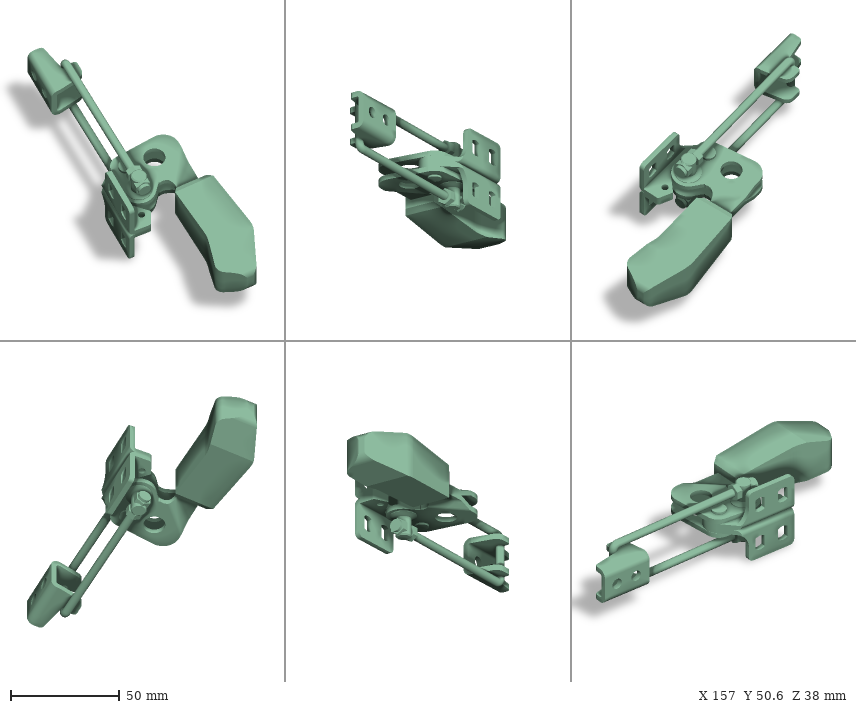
import cadquery as cq
import math


KEEPER_LENGTH = 25.8
KEEPER_WIDTH = 18.4
KEEPER_SHEET = 2.75
KEEPER_INNER_BEND = 1.0
KEEPER_HEIGHT = 18.2
KEEPER_RAMP_START_Y = 7.6
KEEPER_RAMP_ROUNDING = 1.8
KEEPER_BACK_Y = 4.3
KEEPER_NOSE_BACK_X = 22.6
KEEPER_NOSE_BACK_ROUNDING = 4.0
KEEPER_NOSE_TIP_ROUNDING = 1.5
KEEPER_HOLE_X = (7.0, 18.0)
KEEPER_HOLE_DIAMETER = 5.4

BASE_LEFT = 83.3
BASE_RIGHT = 109.5
BASE_WIDTH = 38.0
BASE_SHEET = 2.6
BASE_INNER_BEND = 0.4
BASE_CORNER_RADIUS = 2.5
NECK_FLARE_RADIUS = 9.8
NECK_FLARE_START_Z = 11.0
SLOT_X = (89.7, 102.9)
SLOT_Z = 10.6
SLOT_WIDTH = 5.4
SLOT_LENGTH = 7.7
SLOT_SIDE_LENGTH = 6.0
TONGUE_TOE_X = 79.4
TONGUE_NOSE_RADIUS = 7.5
TONGUE_VALLEY_Y = 5.5
TAB_PEAK = (102.4, 14.3)
TAB_SHOULDER = (BASE_RIGHT, 11.0)
TAB_PEAK_ROUNDING = 1.0
TAB_SHOULDER_ROUNDING = 1.5
TAB_HOLE = (102.5, 9.5)
TAB_HOLE_DIAMETER = 3.3

RIVET_X = 76.5
RIVET_Y = 14.0
RIVET_SHANK_DIAMETER = 5.0
RIVET_HEAD_DIAMETER = 7.3
RIVET_HEAD_HEIGHT = 1.3
RIVET_TAIL_DIAMETER = 6.6
RIVET_TAIL_HEIGHT = 0.9

LEVER_SHEET = 2.5
LEVER_GAP = 2 * BASE_SHEET
LEVER_TOP = 42.1
LEVER_TOP_CORNER_X = 64.7
LEVER_TOP_CORNER_ROUNDING = 8.0
LEVER_LOW_CORNER = (69.9, 7.3)
LEVER_LOW_CORNER_ROUNDING = 6.5
LEVER_NECK_LOW = (95.8, 19.8)
LEVER_NECK_HIGH = (90.9, 23.7)
LEVER_TANG_START = 93.5
LEVER_TANG_BOTTOM = 30.2
LEVER_TANG_END = 127.0
LEVER_EYE_RADIUS = 8.1
LEVER_HOLE = (76.9, 28.2)
LEVER_HOLE_DIAMETER = 10.2
LEVER_NOTCH_CENTRE = (95.6, 26.0)
LEVER_NOTCH_RADIUS = 4.8
STEP_START_X = 75.1
STEP_DIRECTION = -42.5
STEP_UPPER_BEND = 1.2
STEP_LOWER_BEND = 5.7
STEP_BEND_RADIUS = 3.0

GRIP_MOUTH_TOP = (97.1, 45.1)
GRIP_SHOULDER_TOP = (100.1, 47.25)
GRIP_CREST = (135.6, 50.91)
GRIP_CREST_ROUNDING = 14.0
GRIP_TIP = (159.2, 41.6)
GRIP_TIP_CORNER_ROUNDING = 5.2
GRIP_HEEL = (150.6, 24.8)
GRIP_HEEL_ROUNDING = 4.5
GRIP_HOLLOW = (131.6, 28.95)
GRIP_HOLLOW_ROUNDING = 17.0
GRIP_SHOULDER_BOTTOM = (101.2, 27.25)
GRIP_MOUTH_BOTTOM = (97.7, 29.5)
GRIP_TILT = 3.1
GRIP_AXIS_Y = 38.0
GRIP_MOUTH_X = 97.4
GRIP_MOUTH_HALF_WIDTH = 6.2
GRIP_SHOULDER_X = 100.6
GRIP_SHOULDER_HALF_WIDTH = 8.2
GRIP_CREASE_X = 137.1
GRIP_CREASE_HALF_WIDTH = 10.7
GRIP_END_X = 156.9
GRIP_END_HALF_WIDTH = 6.7
GRIP_END_ROUNDING = 4.3

BAR_X = 14.0
BAR_Y = 12.3
PIN_X = 90.4
PIN_Y = 13.75
ROD_DIAMETER = 4.0
ROD_HALF_SPACING = 12.0
ROD_BEND_RADIUS = 2.7
PIN_DIAMETER = 6.0
POST_DIAMETER = 7.3
POST_END_Z = 16.0
POST_CHAMFER = 0.6
FLANGE_DIAMETER = 12.4
FLANGE_RIM = 0.3
FLANGE_CONE_END_Z = 6.7
NUT_ACROSS_FLATS = 7.0
NUT_THICKNESS = 3.0
FRONT_NUT_START = -6.3
BACK_NUT_START = 1.9
COLLAR_DIAMETER = 6.0
COLLAR_LENGTH = 1.6

LEVER_HALF_WIDTH = LEVER_GAP / 2 + LEVER_SHEET


def rounded_outline(plane, corners):
    """Closed wire through corners given as (x, y, radius); radius 0 leaves the corner sharp."""
    wire = None
    first = None
    for i, (x, y, radius) in enumerate(corners):
        if radius == 0:
            path = [(x, y)]
        else:
            before = corners[i - 1]
            after = corners[(i + 1) % len(corners)]
            path = corner_arc((x, y), before[:2], after[:2], radius)
        if wire is None:
            first = path[0]
            wire = plane.moveTo(*first)
        else:
            wire = wire.lineTo(*path[0])
        if len(path) > 1:
            wire = wire.threePointArc(path[1], path[2])
    return wire.close()


def corner_arc(corner, before, after, radius):
    """Start, middle and end of the arc that rounds a corner tangent to both of its sides."""
    corner = cq.Vector(*corner)
    back = (cq.Vector(*before) - corner).normalized()
    ahead = (cq.Vector(*after) - corner).normalized()
    half_angle = back.getAngle(ahead) / 2
    reach = radius / math.tan(half_angle)
    centre_distance = radius / math.sin(half_angle)
    toward_centre = (back + ahead).normalized()
    points = (
        corner + back * reach,
        corner + toward_centre * (centre_distance - radius),
        corner + ahead * reach,
    )
    return [(p.x, p.y) for p in points]


def cylinder(x, y, diameter, z_start, z_end):
    return (
        cq.Workplane("XY", origin=(x, y, z_start)).circle(diameter / 2).extrude(z_end - z_start)
    )


def holes_through_foot(x_positions, diameter, depth):
    """Round holes on the mid plane, through a foot that lies on the mounting face."""
    centres = [(x, 0) for x in x_positions]
    return cq.Workplane("XZ").pushPoints(centres).circle(diameter / 2).extrude(-depth)


def make_keeper():
    half = KEEPER_WIDTH / 2
    inner_half = half - KEEPER_SHEET
    outer_bend = KEEPER_INNER_BEND + KEEPER_SHEET
    section = [
        (KEEPER_HEIGHT, -half, 0),
        (0, -half, outer_bend),
        (0, half, outer_bend),
        (KEEPER_HEIGHT, half, 0),
        (KEEPER_HEIGHT, inner_half, 0),
        (KEEPER_SHEET, inner_half, KEEPER_INNER_BEND),
        (KEEPER_SHEET, -inner_half, KEEPER_INNER_BEND),
        (KEEPER_HEIGHT, -inner_half, 0),
    ]
    channel = rounded_outline(cq.Workplane("YZ"), section).extrude(KEEPER_LENGTH)

    rod_radius = ROD_DIAMETER / 2
    wall = [
        (0, 0, 0),
        (KEEPER_LENGTH, 0, 0),
        (KEEPER_LENGTH, KEEPER_BACK_Y, 0),
        (KEEPER_NOSE_BACK_X, KEEPER_HEIGHT, KEEPER_NOSE_BACK_ROUNDING),
        (BAR_X, KEEPER_HEIGHT, KEEPER_NOSE_TIP_ROUNDING),
        (BAR_X, BAR_Y - rod_radius, 0),
        (0, KEEPER_RAMP_START_Y, KEEPER_RAMP_ROUNDING),
    ]
    walls = rounded_outline(cq.Workplane("XY"), wall).extrude(half, both=True)
    seat = cylinder(BAR_X, BAR_Y, ROD_DIAMETER, -half, half)
    holes = holes_through_foot(KEEPER_HOLE_X, KEEPER_HOLE_DIAMETER, KEEPER_SHEET)
    return channel.intersect(walls).cut(seat).cut(holes)


def base_plan():
    """Base seen square to the mounting face: two feet that flare in to the width of the tongue."""
    half = BASE_WIDTH / 2
    tongue_left = RIVET_X - TONGUE_NOSE_RADIUS
    tongue_top = RIVET_Y + TONGUE_NOSE_RADIUS
    flare_turn = math.asin((NECK_FLARE_START_Z - BASE_SHEET) / NECK_FLARE_RADIUS)

    def flare_point(turn):
        x = BASE_LEFT - NECK_FLARE_RADIUS * (1 - math.cos(turn))
        return (x, NECK_FLARE_START_Z - NECK_FLARE_RADIUS * math.sin(turn))

    half_plan = (
        cq.Workplane("XZ")
        .moveTo(BASE_RIGHT, 0)
        .lineTo(BASE_RIGHT, half)
        .lineTo(BASE_LEFT, half)
        .lineTo(BASE_LEFT, NECK_FLARE_START_Z)
        .threePointArc(flare_point(flare_turn / 2), flare_point(flare_turn))
        .lineTo(tongue_left, BASE_SHEET)
        .lineTo(tongue_left, 0)
        .close()
        .extrude(-tongue_top)
        .edges("|Y and >Z")
        .fillet(BASE_CORNER_RADIUS)
    )
    return half_plan.union(half_plan.mirror("XY"))


def base_slots():
    half = SLOT_WIDTH / 2
    side = SLOT_SIDE_LENGTH / 2
    tip = SLOT_LENGTH / 2
    slots = cq.Workplane("XZ")
    for x in SLOT_X:
        for z in (-SLOT_Z, SLOT_Z):
            slots = (
                slots.moveTo(x - half, z - side)
                .threePointArc((x, z - tip), (x + half, z - side))
                .lineTo(x + half, z + side)
                .threePointArc((x, z + tip), (x - half, z + side))
                .close()
            )
    return slots.extrude(-BASE_SHEET)


def make_base():
    half = BASE_WIDTH / 2
    height = RIVET_Y + TONGUE_NOSE_RADIUS
    section = [
        (height, 0, 0),
        (0, 0, BASE_INNER_BEND + BASE_SHEET),
        (0, half, 0),
        (BASE_SHEET, half, 0),
        (BASE_SHEET, BASE_SHEET, BASE_INNER_BEND),
        (height, BASE_SHEET, 0),
    ]
    sheet = rounded_outline(cq.Workplane("YZ"), section).extrude(BASE_RIGHT)
    sheets = sheet.union(sheet.mirror("XY"))

    toe_to_rivet = math.hypot(RIVET_X - TONGUE_TOE_X, RIVET_Y)
    toe_angle = math.atan2(RIVET_Y, RIVET_X - TONGUE_TOE_X)
    edge_angle = toe_angle + math.asin(TONGUE_NOSE_RADIUS / toe_to_rivet)
    edge_length = math.sqrt(toe_to_rivet**2 - TONGUE_NOSE_RADIUS**2)
    edge_top = (
        TONGUE_TOE_X + edge_length * math.cos(edge_angle),
        edge_length * math.sin(edge_angle),
    )
    valley_x = TAB_PEAK[0] - (TAB_PEAK[1] - TONGUE_VALLEY_Y)
    tongue_outline = [
        (TONGUE_TOE_X, 0, 0),
        (BASE_RIGHT, 0, 0),
        (*TAB_SHOULDER, TAB_SHOULDER_ROUNDING),
        (*TAB_PEAK, TAB_PEAK_ROUNDING),
        (valley_x, TONGUE_VALLEY_Y, 0),
        (RIVET_X + TONGUE_NOSE_RADIUS, TONGUE_VALLEY_Y, 0),
        (RIVET_X + TONGUE_NOSE_RADIUS, RIVET_Y, 0),
        (RIVET_X, RIVET_Y, 0),
        (*edge_top, 0),
    ]
    side = rounded_outline(cq.Workplane("XY"), tongue_outline).extrude(half, both=True)
    side = side.union(cylinder(RIVET_X, RIVET_Y, 2 * TONGUE_NOSE_RADIUS, -half, half))
    tab_hole = cylinder(*TAB_HOLE, TAB_HOLE_DIAMETER, -BASE_SHEET, BASE_SHEET)
    rivet_hole = cylinder(RIVET_X, RIVET_Y, RIVET_SHANK_DIAMETER, -BASE_SHEET, BASE_SHEET)
    base = sheets.intersect(side).intersect(base_plan())
    return base.cut(base_slots()).cut(tab_hole).cut(rivet_hole)


def make_rivet():
    z = LEVER_HALF_WIDTH
    shank = cylinder(RIVET_X, RIVET_Y, RIVET_SHANK_DIAMETER, -z, z)
    head = cylinder(RIVET_X, RIVET_Y, RIVET_HEAD_DIAMETER, z, z + RIVET_HEAD_HEIGHT)
    tail = cylinder(RIVET_X, RIVET_Y, RIVET_TAIL_DIAMETER, -z - RIVET_TAIL_HEIGHT, -z)
    return shank.union(head).union(tail)


def lever_side():
    """Flat side shape of the lever, extruded across its full width."""
    z = LEVER_HALF_WIDTH
    outline = [
        (LEVER_TOP_CORNER_X, LEVER_TOP, LEVER_TOP_CORNER_ROUNDING),
        (*LEVER_LOW_CORNER, LEVER_LOW_CORNER_ROUNDING),
        (PIN_X, PIN_Y - LEVER_EYE_RADIUS, 0),
        (PIN_X, PIN_Y, 0),
        (*LEVER_NECK_LOW, 0),
        (*LEVER_NECK_HIGH, 0),
        (LEVER_TANG_START, LEVER_TANG_BOTTOM, 0),
        (LEVER_TANG_END, LEVER_TANG_BOTTOM, 0),
        (LEVER_TANG_END, LEVER_TOP, 0),
    ]
    side = rounded_outline(cq.Workplane("XY"), outline).extrude(z, both=True)
    eye = cylinder(PIN_X, PIN_Y, 2 * LEVER_EYE_RADIUS, -z, z)
    notch = cylinder(*LEVER_NOTCH_CENTRE, 2 * LEVER_NOTCH_RADIUS, -z, z)
    return side.union(eye).cut(notch)


def stepped_cheek():
    """Sheet bent in a step along the slanting fold: apart before the fold, on the mid plane past it."""
    reach = LEVER_TANG_END
    gap = LEVER_GAP / 2
    section = [
        (-reach, gap, 0),
        (STEP_UPPER_BEND, gap, STEP_BEND_RADIUS),
        (STEP_LOWER_BEND, 0, STEP_BEND_RADIUS),
        (reach, 0, 0),
        (reach, LEVER_SHEET, 0),
        (STEP_LOWER_BEND, LEVER_SHEET, STEP_BEND_RADIUS),
        (STEP_UPPER_BEND, LEVER_HALF_WIDTH, STEP_BEND_RADIUS),
        (-reach, LEVER_HALF_WIDTH, 0),
    ]
    across_fold = STEP_DIRECTION + 90
    fold_plane = cq.Plane(
        origin=(STEP_START_X, LEVER_TOP, 0),
        xDir=(math.cos(math.radians(across_fold)), math.sin(math.radians(across_fold)), 0),
        normal=(math.cos(math.radians(STEP_DIRECTION)), math.sin(math.radians(STEP_DIRECTION)), 0),
    )
    return rounded_outline(cq.Workplane(fold_plane), section).extrude(reach, both=True)


def make_lever():
    z = LEVER_HALF_WIDTH
    cheek = stepped_cheek().intersect(lever_side())
    lever = cheek.union(cheek.mirror("XY"))
    for x, y, diameter in (
        (*LEVER_HOLE, LEVER_HOLE_DIAMETER),
        (RIVET_X, RIVET_Y, RIVET_SHANK_DIAMETER),
        (PIN_X, PIN_Y, PIN_DIAMETER),
    ):
        lever = lever.cut(cylinder(x, y, diameter, -z, z))
    return lever


def make_grip(lever):
    side = [
        (*GRIP_MOUTH_TOP, 0),
        (*GRIP_SHOULDER_TOP, 0),
        (*GRIP_CREST, GRIP_CREST_ROUNDING),
        (*GRIP_TIP, GRIP_TIP_CORNER_ROUNDING),
        (*GRIP_HEEL, GRIP_HEEL_ROUNDING),
        (*GRIP_HOLLOW, GRIP_HOLLOW_ROUNDING),
        (*GRIP_SHOULDER_BOTTOM, 0),
        (*GRIP_MOUTH_BOTTOM, 0),
    ]
    body = rounded_outline(cq.Workplane("XY"), side).extrude(GRIP_CREASE_HALF_WIDTH, both=True)

    upper = [
        (GRIP_MOUTH_X, GRIP_MOUTH_HALF_WIDTH, 0),
        (GRIP_SHOULDER_X, GRIP_SHOULDER_HALF_WIDTH, 0),
        (GRIP_CREASE_X, GRIP_CREASE_HALF_WIDTH, 0),
        (GRIP_END_X, GRIP_END_HALF_WIDTH, GRIP_END_ROUNDING),
    ]
    lower = [(x, -z, radius) for x, z, radius in reversed(upper)]
    taper = (
        rounded_outline(cq.Workplane("XZ", origin=(0, GRIP_AXIS_Y, 0)), upper + lower)
        .extrude(GRIP_AXIS_Y, both=True)
        .rotate((GRIP_CREASE_X, GRIP_AXIS_Y, 0), (GRIP_CREASE_X, GRIP_AXIS_Y, 1), GRIP_TILT)
    )
    return body.intersect(taper).cut(lever)


def hex_nut(start, z):
    """Nut on a rod, with two corners pointing across the latch."""
    return (
        cq.Workplane("YZ", origin=(start, 0, z))
        .transformed(rotate=(0, 0, 90))
        .polygon(6, NUT_ACROSS_FLATS / math.cos(math.radians(30)))
        .extrude(NUT_THICKNESS)
    )


def make_bail():
    span = math.hypot(PIN_X - BAR_X, PIN_Y - BAR_Y)
    swing = math.degrees(math.atan2(PIN_Y - BAR_Y, PIN_X - BAR_X))
    collar_start = span + BACK_NUT_START + NUT_THICKNESS
    rod_end = collar_start + COLLAR_LENGTH
    bend = ROD_BEND_RADIUS
    bend_mid = bend * (1 - math.cos(math.radians(45)))
    spacing = ROD_HALF_SPACING
    centreline = (
        cq.Workplane("XZ")
        .moveTo(rod_end, -spacing)
        .lineTo(bend, -spacing)
        .threePointArc((bend_mid, bend_mid - spacing), (0, bend - spacing))
        .lineTo(0, spacing - bend)
        .threePointArc((bend_mid, spacing - bend_mid), (bend, spacing))
        .lineTo(rod_end, spacing)
    )
    rod = cq.Workplane("YZ", origin=(rod_end, 0, -spacing)).circle(ROD_DIAMETER / 2).sweep(centreline)

    post_radius = POST_DIAMETER / 2
    flange_radius = FLANGE_DIAMETER / 2
    half_pin = (
        cq.Workplane("XZ")
        .moveTo(0, 0)
        .lineTo(PIN_DIAMETER / 2, 0)
        .lineTo(PIN_DIAMETER / 2, LEVER_HALF_WIDTH)
        .lineTo(flange_radius, LEVER_HALF_WIDTH)
        .lineTo(flange_radius, LEVER_HALF_WIDTH + FLANGE_RIM)
        .lineTo(post_radius, FLANGE_CONE_END_Z)
        .lineTo(post_radius, POST_END_Z - POST_CHAMFER)
        .lineTo(post_radius - POST_CHAMFER, POST_END_Z)
        .lineTo(0, POST_END_Z)
        .close()
        .revolve(360, (0, 0, 0), (0, 1, 0))
        .translate((span, 0, 0))
    )
    bail = rod.union(half_pin).union(half_pin.mirror("XY"))
    for z in (-spacing, spacing):
        collar = (
            cq.Workplane("YZ", origin=(collar_start, 0, z))
            .circle(COLLAR_DIAMETER / 2)
            .extrude(COLLAR_LENGTH)
        )
        bail = bail.union(hex_nut(span + FRONT_NUT_START, z))
        bail = bail.union(hex_nut(span + BACK_NUT_START, z)).union(collar)
    return bail.rotate((0, 0, 0), (0, 0, 1), swing).translate((BAR_X, BAR_Y, 0))


keeper = make_keeper()
base = make_base()
rivet = make_rivet()
lever = make_lever()
grip = make_grip(lever)
bail = make_bail()

result = cq.Compound.makeCompound(
    [keeper.val(), base.val(), rivet.val(), lever.val(), grip.val(), bail.val()]
)